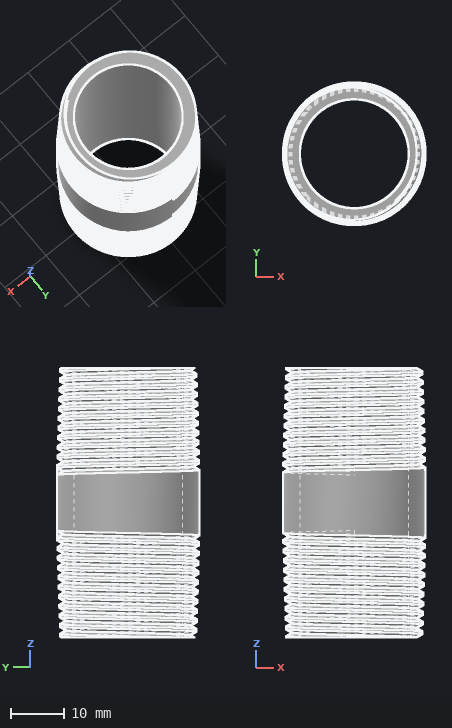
import cadquery as cq
import math

LENGTH = 50.8
OUTER_RADIUS = 26.92 / 2
BORE_RADIUS = 20.5 / 2
THREADED_LENGTH = 20.15

PITCH = 25.4 / 14
TAPER = 1 / 32
FLANK_HALF_ANGLE = 30
GROOVE_DEPTH = 1.1
ROOT_FLAT = 0.08
GROOVE_OVERCUT = 0.3
GROOVE_START_ANGLE = 90

half_length = LENGTH / 2
half_collar = half_length - THREADED_LENGTH
taper_angle = math.degrees(math.atan(TAPER))
end_radius = OUTER_RADIUS - THREADED_LENGTH * TAPER
flank_slope = math.tan(math.radians(FLANK_HALF_ANGLE))
groove_half_width = ROOT_FLAT / 2 + GROOVE_DEPTH * flank_slope


def tapered_blank():
    """Solid of revolution: cylinder in the middle, a shallow cone towards each end."""
    return (
        cq.Workplane("XZ")
        .moveTo(0, -half_length)
        .lineTo(-end_radius, -half_length)
        .lineTo(-OUTER_RADIUS, -half_collar)
        .lineTo(-OUTER_RADIUS, half_collar)
        .lineTo(-end_radius, half_length)
        .lineTo(0, half_length)
        .close()
        .revolve(360, (0, 0, 0), (0, 1, 0))
    )


def thread_cutter():
    """Right-hand V groove that climbs from the collar past the upper end of the pipe."""
    start_height = half_collar + groove_half_width
    turns = math.ceil((half_length + groove_half_width - start_height) / PITCH)
    root_radius = OUTER_RADIUS - GROOVE_DEPTH
    cutter_radius = OUTER_RADIUS + GROOVE_OVERCUT
    cutter_half_width = groove_half_width + GROOVE_OVERCUT * flank_slope

    def tapered_helix(radius, height):
        helix = cq.Wire.makeHelix(PITCH, turns * PITCH, radius, angle=-taper_angle)
        return helix.translate(cq.Vector(0, 0, height))

    helices = [
        tapered_helix(root_radius, -ROOT_FLAT / 2),
        tapered_helix(root_radius, ROOT_FLAT / 2),
        tapered_helix(cutter_radius, cutter_half_width),
        tapered_helix(cutter_radius, -cutter_half_width),
    ]
    next_helices = helices[1:] + helices[:1]
    sides = [cq.Face.makeRuledSurface(*pair) for pair in zip(helices, next_helices)]
    first_corners = [helix.startPoint() for helix in helices]
    last_corners = [helix.endPoint() for helix in helices]
    ends = [
        cq.Face.makeFromWires(cq.Wire.makePolygon(corners, close=True))
        for corners in (first_corners, last_corners)
    ]
    cutter = cq.Solid.makeSolid(cq.Shell.makeShell(sides + ends))
    return (
        cq.Workplane(cutter)
        .rotate((0, 0, 0), (0, 0, 1), GROOVE_START_ANGLE)
        .translate((0, 0, start_height))
    )


upper_thread = thread_cutter()
lower_thread = upper_thread.mirror("XY")
bore = cq.Workplane("XY").circle(BORE_RADIUS).extrude(half_length, both=True)

result = tapered_blank().cut(upper_thread).cut(lower_thread).cut(bore)